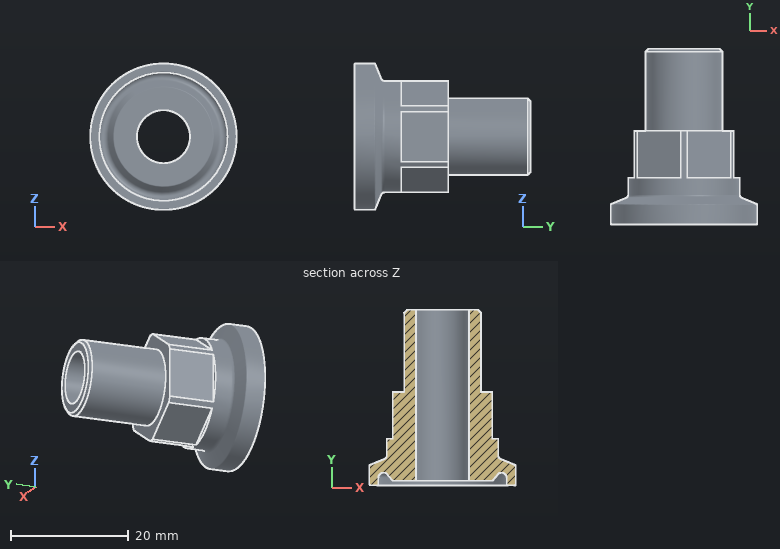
import cadquery as cq
import math

total_length = 30.0
flange_rim_end = 3.5
flange_taper_end = 4.75
hex_start = 8.0
hex_end = 16.0

flange_radius = 25.0 / 2
collar_radius = 19.02 / 2
stem_radius = 13.15 / 2
bore_radius = 4.5
hex_across_flats = 17.0
hex_sides = 6

flange_edge_round = 0.25
taper_root_round = 0.55
stem_chamfer = 0.5

edge_margin = 0.03

land_recess = 0.8
land_radius = 8.52

groove_outer_radius = 10.92
groove_floor_radius = 0.85
groove_slope_angle = 50
groove_lip_round = 0.25


def revolve_profile(points):
    """Revolve (radius, y) points around the Y axis."""
    return cq.Workplane("XY").polyline(points).close().revolve(360, (0, 0, 0), (0, 1, 0))


def make_flange_and_collar():
    body = revolve_profile([
        (0, 0),
        (flange_radius, 0),
        (flange_radius, flange_rim_end),
        (collar_radius, flange_taper_end),
        (collar_radius, hex_start),
        (0, hex_start),
    ])
    body = body.edges(cq.selectors.RadiusNthSelector(-1)).fillet(flange_edge_round)
    root = cq.selectors.BoxSelector(
        (-flange_radius, flange_taper_end - edge_margin, -flange_radius),
        (flange_radius, flange_taper_end + edge_margin, flange_radius),
    )
    return body.edges(root).fillet(taper_root_round)


def make_hex():
    """Hexagon with flats facing +X and -X, its corners trimmed to the collar radius."""
    length = hex_end - hex_start
    plane = cq.Workplane("XZ", origin=(0, hex_start, 0))
    half_side_angle = 180 / hex_sides
    across_corners = hex_across_flats / math.cos(math.radians(half_side_angle))
    turned_plane = plane.transformed(rotate=(0, 0, half_side_angle))
    hexagon = turned_plane.polygon(hex_sides, across_corners).extrude(-length)
    return hexagon.intersect(plane.circle(collar_radius).extrude(-length))


def make_stem():
    plane = cq.Workplane("XZ", origin=(0, hex_end, 0))
    stem = plane.circle(stem_radius).extrude(hex_end - total_length)
    return stem.faces(">Y").chamfer(stem_chamfer)


def make_face_recess():
    """Shallow recess over the land, deepening to a ring groove with a round floor."""
    slope = math.radians(groove_slope_angle)
    arc_center_radius = groove_outer_radius - groove_floor_radius
    slope_end_radius = arc_center_radius - groove_floor_radius * math.sin(slope)
    slope_end_depth = land_recess + (slope_end_radius - land_radius) * math.tan(slope)
    arc_center_depth = slope_end_depth - groove_floor_radius * math.cos(slope)
    floor_depth = arc_center_depth + groove_floor_radius
    profile = (
        cq.Workplane("XY")
        .lineTo(groove_outer_radius, 0)
        .lineTo(groove_outer_radius, arc_center_depth)
        .threePointArc((arc_center_radius, floor_depth), (slope_end_radius, slope_end_depth))
        .lineTo(land_radius, land_recess)
        .lineTo(0, land_recess)
        .close()
    )
    return profile.revolve(360, (0, 0, 0), (0, 1, 0))


def round_groove_lips(part):
    """Round the outer lip at the flange face and the inner lip at the land."""
    for depth, radius in ((0, groove_outer_radius), (land_recess, land_radius)):
        lip = cq.selectors.BoxSelector(
            (-radius - edge_margin, depth - edge_margin, -radius - edge_margin),
            (radius + edge_margin, depth + edge_margin, radius + edge_margin),
            boundingbox=True,
        )
        part = part.edges(lip).edges(cq.selectors.RadiusNthSelector(-1)).fillet(groove_lip_round)
    return part


bore = cq.Workplane("XZ").circle(bore_radius).extrude(-total_length)
body = make_flange_and_collar().union(make_hex()).union(make_stem())
result = round_groove_lips(body.cut(make_face_recess())).cut(bore)